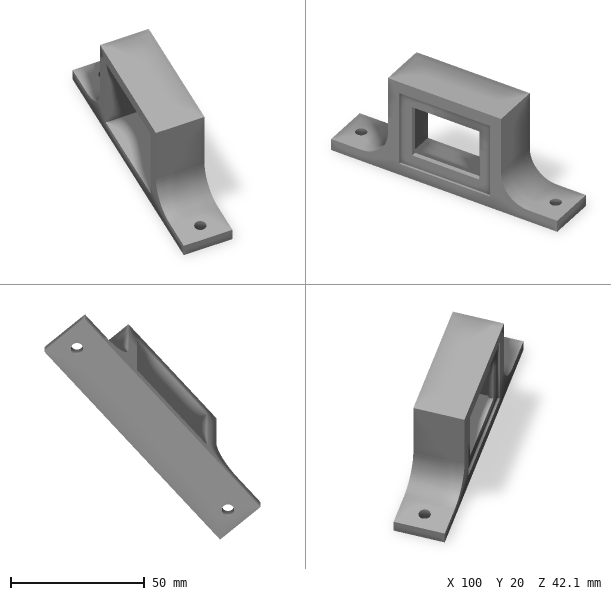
import cadquery as cq

length = 100.0
depth = 20.0
height = 42.1

wall = 5.0
housing_width = 50.1
housing_left = 24.8
housing_right = housing_left + housing_width
fillet_radius = 12.0

pocket_width = housing_width - 2 * wall
pocket_height = height - 2 * wall
frame_border = 5.1
frame_thickness = 2.0
recess_depth = 1.0
pocket_depth = depth - frame_thickness - recess_depth

hole_diameter = 4.6
hole_inset = 7.0


def make_body():
    """Join the base and the housing, with concave fillets at the housing feet."""
    base = cq.Workplane("XY").box(length, depth, wall, centered=False)
    housing = cq.Workplane("XY").box(housing_width, depth, height, centered=False)
    body = base.union(housing.translate((housing_left, 0, 0)))
    margin = 1.0
    feet = cq.selectors.BoxSelector(
        (housing_left - margin, -margin, wall - margin),
        (housing_right + margin, depth + margin, wall + margin),
    )
    return body.edges("|Y").edges(feet).fillet(fillet_radius)


def opening_block(border, start, block_depth):
    """Block inset from the pocket outline by a border, reaching back from a start depth."""
    block = cq.Workplane("XY").box(
        pocket_width - 2 * border,
        block_depth,
        pocket_height - 2 * border,
        centered=False,
    )
    return block.translate((housing_left + wall + border, start, wall + border))


def cut_opening(body):
    """Cut the front pocket, the window through the frame and the rear recess."""
    body = body.cut(opening_block(0, 0, pocket_depth))
    body = body.cut(opening_block(frame_border, 0, depth))
    return body.cut(opening_block(0, depth - recess_depth, recess_depth))


def drill_mounting_holes(body):
    """Drill one vertical through hole near each end of the base."""
    for x in (hole_inset, length - hole_inset):
        hole = cq.Workplane("XY").center(x, depth / 2).circle(hole_diameter / 2).extrude(wall)
        body = body.cut(hole)
    return body


result = drill_mounting_holes(cut_opening(make_body()))